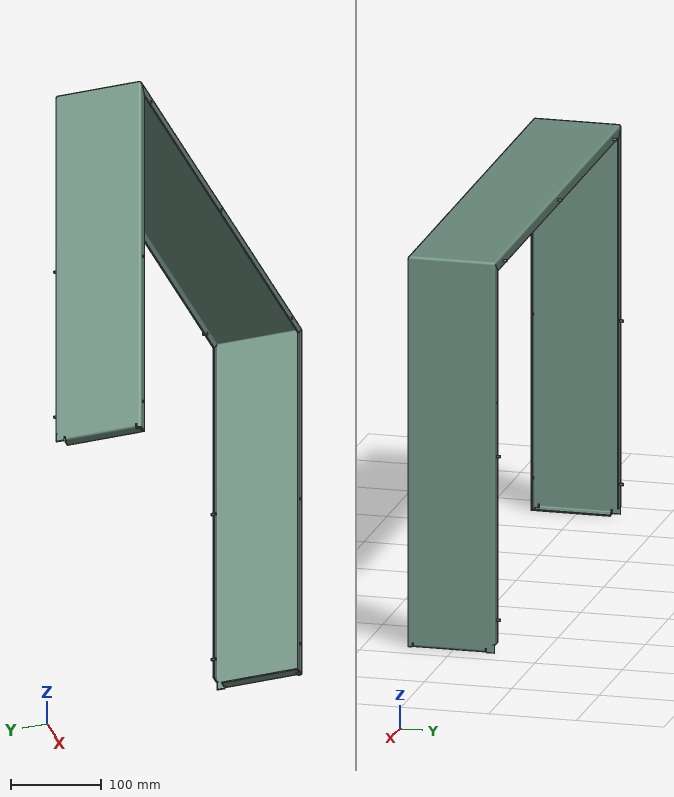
import cadquery as cq
import math

WIDTH = 550.0
DEPTH = 100.0
HEIGHT = 450.0
SHEET = 1.5
BEND = 3.0
FLANGE = 12.0
SEAM = 0.3

REAR_FLANGE_LIFT = 9.5
TAB_SETBACK = 0.8
REAR_SETBACK = 10.0
FRONT_NOTCH_Y = 5.0
RELIEF_WIDTH = 1.5
RELIEF_DEPTH = 4.5

STUD_DIAMETER = 3.0
STUD_PROJECTION = 4.0
FASTENER_INSET = 7.0
TOP_SPACING = 239.0
LOWER_FASTENER_Z = 36.5

EDGE_X = WIDTH / 2
SIDES = (-1, 1)
REAR_NOTCH_Y = DEPTH - REAR_SETBACK
LEG_FASTENER_X = EDGE_X - FASTENER_INSET
TOP_POINTS = [(x, HEIGHT - FASTENER_INSET) for x in (-TOP_SPACING, 0, TOP_SPACING)]
LEG_POINTS = [(side * LEG_FASTENER_X, z) for side in SIDES for z in (LOWER_FASTENER_Z, HEIGHT / 2)]
FASTENER_POINTS = TOP_POINTS + LEG_POINTS


def block(x_range, y_range, z_range):
    """Axis-aligned box spanning the three ranges, each given as (low, high)."""
    lows, highs = zip(x_range, y_range, z_range)
    size = [high - low for low, high in zip(lows, highs)]
    return cq.Workplane("XY").box(*size, centered=False).translate(lows)


def from_edge(side, reach):
    """X range that starts at the outer face of a leg and reaches inward."""
    return tuple(sorted((side * EDGE_X, side * (EDGE_X - reach))))


def folded_shell():
    """Walls, rounded bends and front and rear flanges, cut off square at the foot."""
    below = -FLANGE
    outer = block((-EDGE_X, EDGE_X), (0, DEPTH), (below, HEIGHT)).edges().fillet(BEND)
    inner_x = EDGE_X - SHEET
    inner = block((-inner_x, inner_x), (SHEET, DEPTH - SHEET), (below + SHEET, HEIGHT - SHEET))
    inner = inner.edges().fillet(BEND - SHEET)
    opening_x = EDGE_X - FLANGE
    opening = block((-opening_x, opening_x), (0, DEPTH), (below, HEIGHT - FLANGE))
    foot_trim = block((-EDGE_X, EDGE_X), (0, DEPTH), (below, 0))
    return outer.cut(inner).cut(opening).cut(foot_trim)


def mitre_seam(side):
    """Slit at 45 degrees between the leg and top flanges, front and rear."""
    run = FLANGE * math.sqrt(2)
    slit = cq.Workplane("XY").box(run, DEPTH, SEAM, centered=(False, False, True))
    slit = slit.rotate((0, 0, 0), (0, 1, 0), 45)
    slit = slit.translate((BEND - EDGE_X, 0, HEIGHT - BEND))
    return slit if side < 0 else slit.mirror("YZ")


def rear_foot_gap(side):
    """Rear bend and flange that are missing near the foot."""
    return block(from_edge(side, FLANGE), (DEPTH - BEND, DEPTH), (0, REAR_FLANGE_LIFT))


def rear_foot_tab(side):
    """Square end of the side wall, which replaces the rear bend at the foot."""
    return block(from_edge(side, SHEET), (DEPTH - BEND, DEPTH - TAB_SETBACK), (0, REAR_FLANGE_LIFT))


def foot_notch(side):
    """Room in the side wall for the foot bend and the relief notch at each end of it."""
    return block(from_edge(side, RELIEF_DEPTH), (FRONT_NOTCH_Y, REAR_NOTCH_Y), (0, RELIEF_DEPTH))


def foot_flange(side):
    """Bend at the foot and the flat flange, which runs past the bend at both ends."""
    bend_y = (FRONT_NOTCH_Y + RELIEF_WIDTH, REAR_NOTCH_Y - RELIEF_WIDTH)
    corner = block(from_edge(side, RELIEF_DEPTH), bend_y, (0, RELIEF_DEPTH))
    outer_edge = "<X" if side < 0 else ">X"
    corner = corner.faces("<Z").edges(outer_edge).fillet(BEND)
    hollow_x = tuple(x - side * SHEET for x in from_edge(side, RELIEF_DEPTH))
    hollow = block(hollow_x, bend_y, (SHEET, RELIEF_DEPTH + SHEET))
    hollow = hollow.faces("<Z").edges(outer_edge).fillet(BEND - SHEET)
    flat_x = tuple(sorted((side * (EDGE_X - RELIEF_DEPTH), side * (EDGE_X - FLANGE))))
    flat = block(flat_x, (BEND, REAR_NOTCH_Y), (0, SHEET))
    return corner.cut(hollow).union(flat)


def fastener_cylinder(point, y_start, y_end):
    """Round bar along Y, used for the studs and for their holes."""
    x, z = point
    base = cq.Workplane("XZ", origin=(x, y_start, z)).circle(STUD_DIAMETER / 2)
    return base.extrude(y_start - y_end)


def make_frame():
    frame = folded_shell()
    for side in SIDES:
        frame = frame.cut(mitre_seam(side))
        frame = frame.cut(rear_foot_gap(side)).union(rear_foot_tab(side))
        frame = frame.cut(foot_notch(side)).union(foot_flange(side))
    for point in FASTENER_POINTS:
        frame = frame.cut(fastener_cylinder(point, 0, DEPTH))
    return frame


def make_stud(point):
    """Stud filling its hole in the rear flange and standing out behind it."""
    return fastener_cylinder(point, DEPTH - SHEET, DEPTH + STUD_PROJECTION)


frame = make_frame()
studs = [make_stud(point) for point in FASTENER_POINTS]

result = cq.Compound.makeCompound([frame.val(), *[stud.val() for stud in studs]])